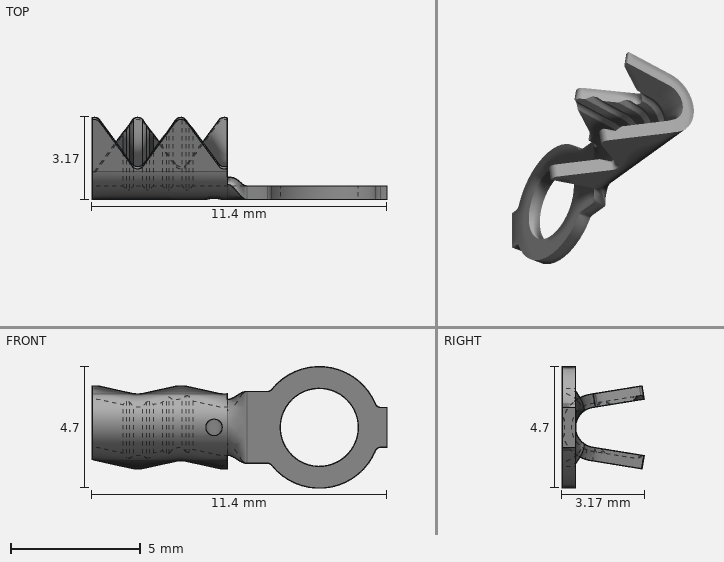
import cadquery as cq
import math

thickness = 0.52

total_length = 11.37
ring_center_x = 8.75
ring_diameter = 4.7
ring_radius = ring_diameter / 2
hole_radius = 1.5
neck_half_width = 1.39
tab_half_width = 0.77
corner_radius = 0.2

barrel_length = 5.21
bend_outer_radius = 1.3
bend_inner_radius = bend_outer_radius - thickness
flare = math.radians(9.2)
barrel_height = 3.17

tongue_start_x = 5.96
transition_start_half_width = 1.08
transition_steps = 4

tooth_pitch = 3.34
half_pitch = tooth_pitch / 2
tooth_radius = 0.26
flank = math.radians(54)
upper_peak_x = 0.08
lower_peak_x = upper_peak_x + half_pitch

groove_count = 4
first_groove_x = 1.39
groove_pitch = 0.76
groove_width = 0.41
groove_floor_width = 0.11
groove_depth = 0.16

dimple_x = 4.7
dimple_radius = 0.32
dimple_depth = 0.1

rounding_loss = tooth_radius * (1 / math.cos(flank) - 1)
tooth_arc_half_width = tooth_radius * math.sin(flank)
tooth_arc_rise = tooth_radius * (1 - math.cos(flank))

leg_length = (barrel_height - bend_outer_radius + bend_inner_radius * math.sin(flare)) / math.cos(flare)
groove_centers = [first_groove_x + i * groove_pitch for i in range(groove_count)]


def mirrored(body):
    return body.mirror("XY")


def make_tongue():
    """Ring plate with a neck toward the barrel and a tab at the far end."""

    def bar(start_x, end_x, half_width):
        outline = cq.Workplane("XZ").center((start_x + end_x) / 2, 0).rect(end_x - start_x, 2 * half_width)
        return outline.extrude(-thickness)

    ring = cq.Workplane("XZ").center(ring_center_x, 0)
    neck = bar(tongue_start_x, ring_center_x, neck_half_width)
    tab = bar(ring_center_x, total_length, tab_half_width)
    plate = ring.circle(ring_radius).extrude(-thickness).union(neck).union(tab)
    inner_corners = cq.selectors.BoxSelector(
        (tongue_start_x + thickness, 0, -ring_radius),
        (ring_center_x + ring_radius, thickness, ring_radius),
    )
    plate = plate.edges("|Y").edges(inner_corners).fillet(corner_radius)
    return plate.cut(ring.circle(hole_radius).extrude(-thickness))


def bend_sector(workplane, outer_radius, half_angle):
    """Cross-section of the sheet bent to outer_radius, spanning half_angle to each side of -Y."""
    inner_radius = outer_radius - thickness

    def point(radius, side):
        return (outer_radius - radius * math.cos(half_angle), side * radius * math.sin(half_angle))

    outline = workplane.moveTo(*point(outer_radius, -1))
    outline = outline.threePointArc((0, 0), point(outer_radius, 1))
    outline = outline.lineTo(*point(inner_radius, 1))
    return outline.threePointArc((thickness, 0), point(inner_radius, -1)).close()


def make_bend():
    return bend_sector(cq.Workplane("YZ"), bend_outer_radius, math.pi / 2 - flare).extrude(barrel_length)


def make_transition():
    """S-shaped blend that unrolls the curved sheet of the bend into the flat sheet of the tongue."""
    start_half_angle = math.asin(transition_start_half_width / bend_outer_radius)
    step_length = (tongue_start_x - barrel_length) / transition_steps
    sections = cq.Workplane("YZ", origin=(barrel_length, 0, 0))
    for step in range(transition_steps):
        progress = (1 - math.cos(math.pi * step / transition_steps)) / 2
        half_angle = start_half_angle * (1 - progress)
        half_width = transition_start_half_width + progress * (neck_half_width - transition_start_half_width)
        sections = bend_sector(sections, half_width / math.sin(half_angle), half_angle)
        sections = sections.workplane(offset=step_length)
    flat = sections.moveTo(0, -neck_half_width).lineTo(0, neck_half_width)
    flat = flat.lineTo(thickness, neck_half_width).lineTo(thickness, -neck_half_width).close()
    return flat.loft(ruled=False, combine=False)


def leg_workplane():
    """Inner face of the +Z leg: local X along the barrel, local Y up the leg from the bend."""
    outward = (0, -math.sin(flare), math.cos(flare))
    plane = cq.Plane(origin=(0, bend_outer_radius, 0), xDir=(1, 0, 0), normal=outward)
    return cq.Workplane(plane).workplane(offset=bend_inner_radius)


def make_leg(peak_x):
    """+Z leg with rounded triangular teeth, one of them peaking at peak_x."""
    tooth_depth = half_pitch * math.tan(flank) - 2 * rounding_loss

    first_x = peak_x - tooth_pitch
    last_x = barrel_length + tooth_pitch
    outline = leg_workplane().moveTo(first_x, 0)
    corner_x = first_x
    is_peak = True
    while corner_x + tooth_arc_half_width < last_x:
        corner_y = leg_length if is_peak else leg_length - tooth_depth
        shoulder_y = corner_y - tooth_arc_rise if is_peak else corner_y + tooth_arc_rise
        outline = outline.lineTo(corner_x - tooth_arc_half_width, shoulder_y)
        outline = outline.threePointArc((corner_x, corner_y), (corner_x + tooth_arc_half_width, shoulder_y))
        corner_x += half_pitch
        is_peak = not is_peak
    teeth = outline.lineTo(last_x, 0).close().extrude(thickness)
    barrel_span = leg_workplane().rect(barrel_length, leg_length, centered=False).extrude(thickness)
    return teeth.intersect(barrel_span)


def make_end_notch():
    """Wedge that runs the first flank of the lower teeth straight out through the barrel end."""

    def flank_y(x):
        return leg_length + rounding_loss - (lower_peak_x - x) * math.tan(flank)

    wedge_x = lower_peak_x - half_pitch + tooth_arc_half_width
    outline = leg_workplane().workplane(offset=-bend_inner_radius).moveTo(0, flank_y(0))
    outline = outline.lineTo(wedge_x, flank_y(wedge_x)).lineTo(0, flank_y(wedge_x)).close()
    return mirrored(outline.extrude(bend_outer_radius))


def make_groove(center_x):
    """Trapezoidal groove running up both legs and around the inside of the bend."""
    half_width = groove_width / 2
    half_floor = groove_floor_width / 2
    bend_axis_y = bend_outer_radius
    floor_radius = bend_inner_radius + groove_depth

    profile = cq.Workplane("XY").moveTo(center_x - half_width, bend_axis_y)
    profile = profile.lineTo(center_x - half_width, bend_axis_y + bend_inner_radius)
    profile = profile.lineTo(center_x - half_floor, bend_axis_y + floor_radius)
    profile = profile.lineTo(center_x + half_floor, bend_axis_y + floor_radius)
    profile = profile.lineTo(center_x + half_width, bend_axis_y + bend_inner_radius)
    profile = profile.lineTo(center_x + half_width, bend_axis_y).close()
    around_bend = profile.revolve(360, (0, bend_axis_y, 0), (1, bend_axis_y, 0))

    up_leg = leg_workplane().center(center_x, leg_length / 2).rect(groove_width, leg_length)
    up_leg = up_leg.workplane(offset=groove_depth).rect(groove_floor_width, leg_length)
    up_leg = up_leg.loft(ruled=True, combine=False)
    return around_bend.union(up_leg).union(mirrored(up_leg))


upper_leg = make_leg(upper_peak_x)
lower_leg = mirrored(make_leg(lower_peak_x))
result = make_bend().union(upper_leg).union(lower_leg).cut(make_end_notch())
for groove_x in groove_centers:
    result = result.cut(make_groove(groove_x))
result = result.union(make_transition()).union(make_tongue())

dimple = cq.Workplane("XZ").center(dimple_x, 0).circle(dimple_radius).extrude(-dimple_depth)
result = result.cut(dimple)